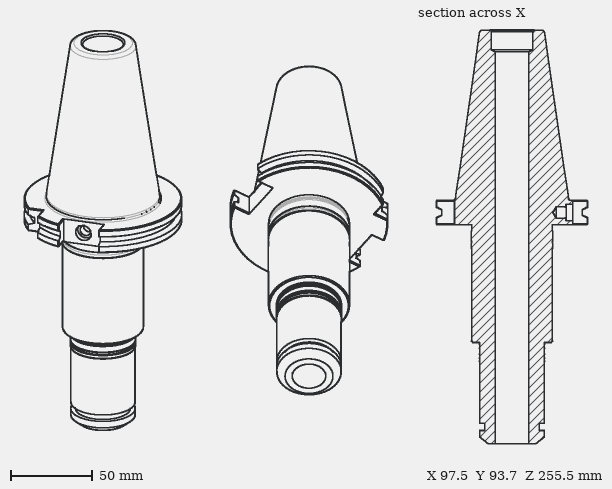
import cadquery as cq

total_height = 255.5
gauge_plane = 153.0
flange_top = 150.5
flange_bottom = 135.2
body_bottom = 62.5
guide_bottom = 50.5
snap_groove_top = 12.8
snap_groove_bottom = 8.5
nose_chamfer_height = 4.0

gauge_diameter = 70.0
taper_ratio = 7 / 24
taper_top_diameter = gauge_diameter - (total_height - gauge_plane) * taper_ratio
taper_top_fillet = 2.3
taper_root_fillet = 1.0

body_diameter = 50.0
collar_diameter = 50.5
neck_groove_diameter = 49.8
body_chamfer = 0.8
neck_groove_top = 133.7
neck_groove_bottom = 132.5
neck_groove_flank = 0.5
collar_top = 130.9
collar_bottom = 125.0
band_top = 123.5
band_bottom = 121.5
band_chamfer = 0.5

guide_diameter = 40.5
shank_diameter = 40.0
snap_groove_diameter = 34.0
nose_diameter = 29.6
guide_step = 0.5
ring_groove_middles = (54.2, 60.3)
ring_groove_mouth = 2.3
ring_groove_floor = 1.3

bore_diameter = 20.7
pilot_diameter = 25.0
pilot_depth = 12.3
pilot_chamfer = 1.0
bore_countersink_depth = 1.3

flange_diameter = 97.5
flange_chamfer = 0.65
v_groove_root_diameter = 90.7
v_groove_mouth = 6.6
v_groove_floor = 3.3
slot_width = 25.8
front_slot_floor = 37.5
back_slot_floor = 35.5
notch_offset = 29.5
edge_margin = 0.3

hole_diameter = 7.0
hole_mouth_diameter = 10.0
hole_counterbore_depth = 4.0
hole_depth = 10.2
hole_tip_depth = 2.0

flange_radius = flange_diameter / 2
flange_height = flange_top - flange_bottom
flange_middle = (flange_top + flange_bottom) / 2


def spin(profile):
    """Revolve a closed profile in the XZ plane a full turn about Z."""
    return profile.revolve(360, (0, 0, 0), (0, 1, 0))


def turned(points):
    """Solid of revolution about Z from (diameter, z) points, closed along the axis."""
    outline = [(0, points[0][1])]
    outline += [(diameter / 2, z) for diameter, z in points]
    if points[-1][0] > 0:
        outline.append((0, points[-1][1]))
    return spin(cq.Workplane("XZ").polyline(outline).close())


def groove_points(middle, mouth, floor, outer_diameter, root_diameter):
    """Points of a groove with sloped flanks, from its lower edge to its upper edge."""
    return [
        (outer_diameter, middle - mouth / 2),
        (root_diameter, middle - floor / 2),
        (root_diameter, middle + floor / 2),
        (outer_diameter, middle + mouth / 2),
    ]


def make_shank():
    points = [
        (nose_diameter, 0),
        (shank_diameter, nose_chamfer_height),
        (shank_diameter, snap_groove_bottom),
        (snap_groove_diameter, snap_groove_bottom),
        (snap_groove_diameter, snap_groove_top),
        (shank_diameter, snap_groove_top),
        (shank_diameter, guide_bottom),
        (guide_diameter, guide_bottom + guide_step),
    ]
    for middle in ring_groove_middles:
        points += groove_points(
            middle, ring_groove_mouth, ring_groove_floor, guide_diameter, shank_diameter
        )
    points += [
        (guide_diameter, body_bottom),
        (body_diameter - 2 * body_chamfer, body_bottom),
        (body_diameter, body_bottom + body_chamfer),
        (body_diameter, band_bottom - band_chamfer),
        (collar_diameter, band_bottom),
        (collar_diameter, band_top),
        (body_diameter, collar_bottom),
        (collar_diameter, collar_bottom),
        (collar_diameter, collar_top),
        (neck_groove_diameter, neck_groove_bottom),
        (neck_groove_diameter, neck_groove_top - neck_groove_flank),
        (body_diameter, neck_groove_top),
        (body_diameter, flange_middle),
    ]
    return turned(points)


def make_taper():
    taper = turned([
        (gauge_diameter, flange_middle),
        (gauge_diameter, gauge_plane),
        (taper_top_diameter, total_height),
    ])
    return taper.faces(">Z").edges().fillet(taper_top_fillet)


def make_taper_root():
    """Concave fillet ring between the taper and the top of the flange."""
    inner = gauge_diameter / 2
    outer = inner + taper_root_fillet
    arc_end_z = flange_top + taper_root_fillet
    profile = (
        cq.Workplane("XZ")
        .moveTo(0, flange_top)
        .lineTo(outer, flange_top)
        .radiusArc((inner, arc_end_z), taper_root_fillet)
        .lineTo(0, arc_end_z)
        .close()
    )
    return spin(profile)


def flange_cutter(x_start, x_end, y_start, y_end):
    size = (x_end - x_start, y_end - y_start, flange_height)
    return cq.Workplane("XY").box(*size, centered=False).translate((x_start, y_start, flange_bottom))


def edge_zone(half_width):
    """Selector for the flange edges centred within half_width of the plane X = 0."""
    corner = (half_width, flange_diameter, total_height)
    return cq.selectors.BoxSelector((-half_width, -flange_diameter, 0), corner)


def make_flange():
    half_slot = slot_width / 2
    base = cq.Workplane("XY", origin=(0, 0, flange_bottom))
    flange = base.circle(flange_radius).extrude(flange_height)
    flange = flange.cut(flange_cutter(-half_slot, half_slot, -flange_radius, -front_slot_floor))
    flange = flange.cut(flange_cutter(-half_slot, half_slot, back_slot_floor, flange_radius))
    flange = flange.cut(flange_cutter(-flange_radius, -notch_offset, -flange_radius, -notch_offset))

    corner_zone = edge_zone(half_slot + edge_margin)
    slot_corners = flange.edges(corner_zone).edges("|Z").edges(">Y or <Y")
    flange = slot_corners.chamfer(flange_chamfer)

    slot_floors = edge_zone(edge_margin)
    upright = cq.selectors.ParallelDirSelector(cq.Vector(0, 0, 1))
    flange = flange.faces("<Z or >Z").edges(-(slot_floors + upright)).chamfer(flange_chamfer)
    return flange


def make_v_groove():
    points = groove_points(
        flange_middle, v_groove_mouth, v_groove_floor, flange_diameter, v_groove_root_diameter
    )
    return spin(cq.Workplane("XZ").polyline([(diameter / 2, z) for diameter, z in points]).close())


def make_bore():
    pilot_floor = total_height - pilot_depth
    return turned([
        (bore_diameter, 0),
        (bore_diameter, pilot_floor - bore_countersink_depth),
        (pilot_diameter, pilot_floor),
        (pilot_diameter, total_height - pilot_chamfer),
        (pilot_diameter + 2 * pilot_chamfer, total_height),
    ])


def make_slot_hole():
    """Counterbored hole with a conical tip, turned about Z and laid along +Y into the slot floor."""
    hole = turned([
        (hole_mouth_diameter, 0),
        (hole_mouth_diameter, hole_counterbore_depth),
        (hole_diameter, hole_counterbore_depth),
        (hole_diameter, hole_depth),
        (0, hole_depth + hole_tip_depth),
    ])
    hole = hole.rotate((0, 0, 0), (1, 0, 0), -90)
    return hole.translate((0, -front_slot_floor, flange_middle))


flange = make_flange().cut(make_v_groove())
result = make_shank().union(make_taper()).union(make_taper_root()).union(flange)
result = result.cut(make_bore()).cut(make_slot_hole())